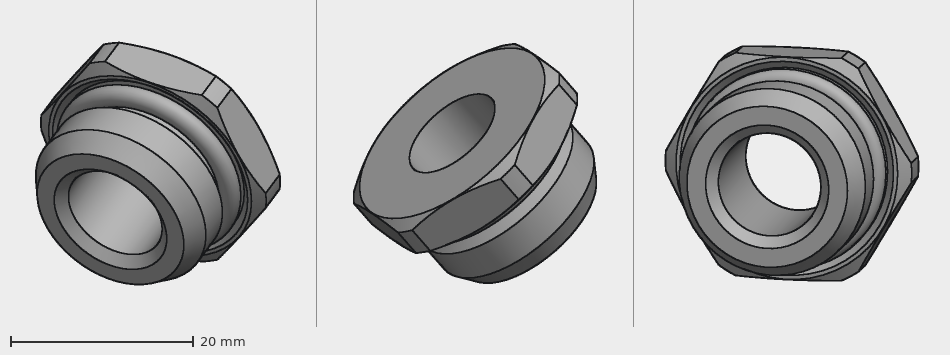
import cadquery as cq
import math

across_flats = 25.0
corner_diameter = 27.7
head_thickness = 5.0
bevel_start_radius = 12.45
bevel_angle = 30.0

recess_radius = 12.0
recess_depth = 0.85
recess_floor_radius = recess_radius - recess_depth

total_length = 14.6
neck_radius = 8.75
spigot_radius = 10.47
shoulder_angle = 60.0
tip_angle = 30.0
tip_length = 2.5
barrel_length = 4.0

bore_radius = 5.75
mouth_radius = 6.92
mouth_angle = 45.0

ring_section_radius = 1.22


def slope(degrees):
    return math.tan(math.radians(degrees))


def revolve_about_y(profile):
    """Turn a closed outline of (radius, y) points around the Y axis."""
    return cq.Workplane("XY").polyline(profile).close().revolve(360, (0, 0, 0), (0, 1, 0))


def make_head():
    corner_radius = corner_diameter / 2
    bevel_depth = (corner_radius - bevel_start_radius) * slope(bevel_angle)
    hexagon = cq.Workplane("XZ").polygon(6, across_flats / math.cos(math.pi / 6)).extrude(head_thickness)
    turned_blank = revolve_about_y([
        (0, 0),
        (bevel_start_radius, 0),
        (corner_radius, -bevel_depth),
        (corner_radius, -head_thickness + bevel_depth),
        (bevel_start_radius, -head_thickness),
        (0, -head_thickness),
    ])
    recess = revolve_about_y([
        (0, -head_thickness),
        (recess_radius, -head_thickness),
        (recess_floor_radius, -head_thickness + recess_depth),
        (0, -head_thickness + recess_depth),
    ])
    return hexagon.intersect(turned_blank).cut(recess)


def make_spigot():
    tip_radius = spigot_radius - tip_length * slope(tip_angle)
    barrel_front = -total_length + tip_length
    barrel_back = barrel_front + barrel_length
    shoulder_length = (spigot_radius - neck_radius) / slope(shoulder_angle)
    return revolve_about_y([
        (0, 0),
        (neck_radius, 0),
        (neck_radius, barrel_back + shoulder_length),
        (spigot_radius, barrel_back),
        (spigot_radius, barrel_front),
        (tip_radius, -total_length),
        (0, -total_length),
    ])


def make_bore():
    mouth_depth = (mouth_radius - bore_radius) / slope(mouth_angle)
    return revolve_about_y([
        (0, 0),
        (bore_radius, 0),
        (bore_radius, -total_length + mouth_depth),
        (mouth_radius, -total_length),
        (0, -total_length),
    ])


def make_plug():
    return make_head().union(make_spigot()).cut(make_bore())


def make_sealing_ring():
    """Round-section ring resting on the neck and on the recess floor."""
    center_radius = neck_radius + ring_section_radius
    center_y = -head_thickness + recess_depth - ring_section_radius
    section = cq.Workplane("XY").center(center_radius, center_y).circle(ring_section_radius)
    return section.revolve(360, (-center_radius, 0, 0), (-center_radius, 1, 0))


plug = make_plug()
sealing_ring = make_sealing_ring()

result = cq.Compound.makeCompound([plug.val(), sealing_ring.val()])